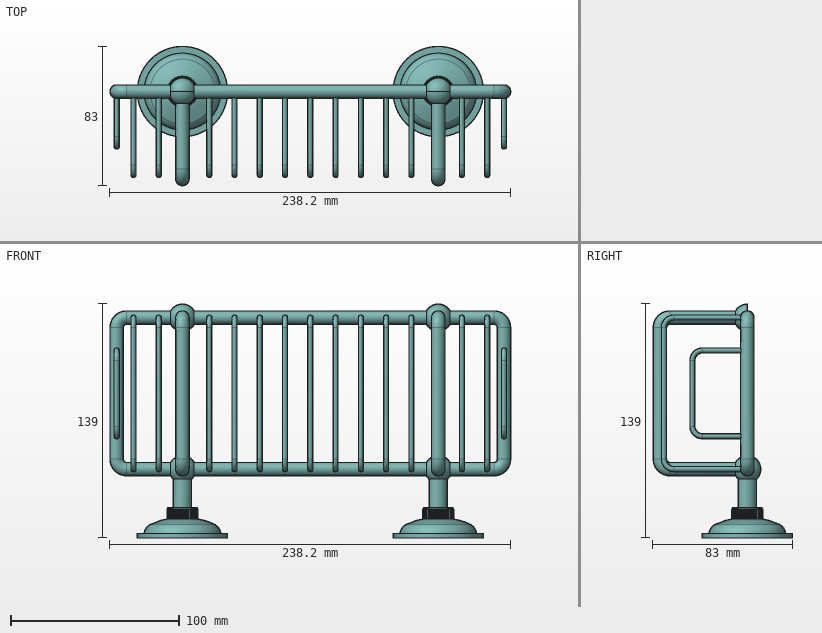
import cadquery as cq
import math


overall_length = 238.2
overall_height = 139.0
overall_depth = 83.0

tube_radius = 4.0
wire_radius = 1.55
bend_radius = 6.0
ball_radius = 8.0

frame_half_length = overall_length / 2 - tube_radius
frame_top = overall_height - ball_radius
frame_bottom = 41.0
frame_height = frame_top - frame_bottom
frame_middle = (frame_top + frame_bottom) / 2

post_x = 76.0
post_radius = 5.5
base_radius = 27.0
flange_height = 2.9
lower_dome_radius = 22.9
dome_break_radius = 19.3
dome_break_height = 8.0
lower_dome_bulge = 0.7
upper_dome_bulge = 0.5

collar_outer_radius = 9.3
collar_root_radius = 8.8
collar_bottom = 11.5
collar_top = 18.0
collar_rim_height = 0.7
collar_teeth = 60

arm_reach = overall_depth - base_radius - tube_radius
wire_reach = 49.5
wire_pitch = 15.0
wires_each_side = 7
arm_slot = 5
end_wire_reach = 32.6
end_wire_height = 51.0


def add_bracket(path, reach, top, bottom):
    """Extend a path out to `reach`, down with two rounded corners, and back to 0."""
    direction = math.copysign(1, reach)
    tangent = reach - direction * bend_radius
    corner_inset = bend_radius * (1 - math.sqrt(0.5))
    corner = reach - direction * corner_inset
    return (
        path.lineTo(tangent, top)
        .threePointArc((corner, top - corner_inset), (reach, top - bend_radius))
        .lineTo(reach, bottom + bend_radius)
        .threePointArc((corner, bottom + corner_inset), (tangent, bottom))
        .lineTo(0, bottom)
    )


def frame_half(side):
    """Half of the tube loop, from the middle of the top rail to the middle of the bottom rail."""
    path = cq.Workplane("XZ").moveTo(0, frame_top)
    path = add_bracket(path, side * frame_half_length, frame_top, frame_bottom)
    return cq.Workplane("YZ", origin=(0, 0, frame_top)).circle(tube_radius).sweep(path)


def forward_loop(x, reach, height, radius):
    """Rod leaving the frame at Y = 0, bending twice and returning to Y = 0."""
    top = frame_middle + height / 2
    bottom = frame_middle - height / 2
    path = cq.Workplane("YZ", origin=(x, 0, 0)).moveTo(0, top)
    path = add_bracket(path, -reach, top, bottom)
    return cq.Workplane("XZ", origin=(x, 0, top)).circle(radius).sweep(path)


def bulged_middle(start, end, bulge):
    """Point `bulge` to the outer side of the middle of a chord that rises inward."""
    run = end[0] - start[0]
    rise = end[1] - start[1]
    chord = math.hypot(run, rise)
    middle_radius = (start[0] + end[0]) / 2
    middle_height = (start[1] + end[1]) / 2
    return (middle_radius + bulge * rise / chord, middle_height - bulge * run / chord)


def wall_base(x):
    """Round flange carrying a two-step dome, turned about the post axis."""
    dome_foot = (lower_dome_radius, flange_height)
    dome_break = (dome_break_radius, dome_break_height)
    dome_top = (collar_root_radius, collar_bottom)
    profile = (
        cq.Workplane("XZ")
        .lineTo(base_radius, 0)
        .lineTo(base_radius, flange_height)
        .lineTo(*dome_foot)
        .threePointArc(bulged_middle(dome_foot, dome_break, lower_dome_bulge), dome_break)
        .threePointArc(bulged_middle(dome_break, dome_top, upper_dome_bulge), dome_top)
        .lineTo(0, collar_bottom)
        .close()
    )
    base = profile.revolve(360, (0, 0, 0), (0, 1, 0))
    return base.translate((x, 0, 0))


def knurled_collar(x):
    """Ring with vertical V-shaped teeth and a plain rim on top."""
    outline = []
    for i in range(2 * collar_teeth):
        angle = math.pi * i / collar_teeth
        radius = collar_outer_radius if i % 2 == 0 else collar_root_radius
        outline.append((radius * math.cos(angle), radius * math.sin(angle)))
    start = cq.Workplane("XY", origin=(x, 0, collar_bottom))
    core = start.circle(collar_root_radius).extrude(collar_top - collar_bottom)
    teeth = start.polyline(outline).close().extrude(collar_top - collar_rim_height - collar_bottom)
    return core.union(teeth)


def post(x):
    """Plain round post from the base up to the lower ball."""
    return cq.Workplane("XY", origin=(x, 0, 0)).circle(post_radius).extrude(frame_bottom)


def lower_ball(x):
    """Full ball joining post, bottom rail and arm."""
    return cq.Workplane("XY", origin=(x, 0, frame_bottom)).sphere(ball_radius)


def upper_ball(x):
    """Half ball: only the side facing the basket (-Y)."""
    half_disc = (
        cq.Workplane("XZ")
        .moveTo(-ball_radius, 0)
        .threePointArc((0, ball_radius), (ball_radius, 0))
        .close()
    )
    half_ball = half_disc.revolve(180, (0, 0, 0), (1, 0, 0))
    return half_ball.translate((x, 0, frame_top))


def rail_gap(x):
    """Box behind the half ball (+Y), spanning between the circles where the rail meets the ball."""
    half_width = math.sqrt(ball_radius**2 - tube_radius**2)
    gap = cq.Workplane("XY", origin=(x, tube_radius, frame_top))
    return gap.box(2 * half_width, 2 * tube_radius, 2 * ball_radius)


frame = frame_half(1).union(frame_half(-1))
for x in (-post_x, post_x):
    frame = frame.cut(rail_gap(x))

parts = []
for x in (-post_x, post_x):
    parts += [wall_base(x), knurled_collar(x), post(x), lower_ball(x), upper_ball(x)]
    parts.append(forward_loop(x, arm_reach, frame_height, tube_radius))

for i in range(-wires_each_side, wires_each_side + 1):
    if abs(i) != arm_slot:
        parts.append(forward_loop(i * wire_pitch, wire_reach, frame_height, wire_radius))

for x in (-frame_half_length, frame_half_length):
    parts.append(forward_loop(x, end_wire_reach, end_wire_height, wire_radius))

result = frame
for part in parts:
    result = result.union(part)